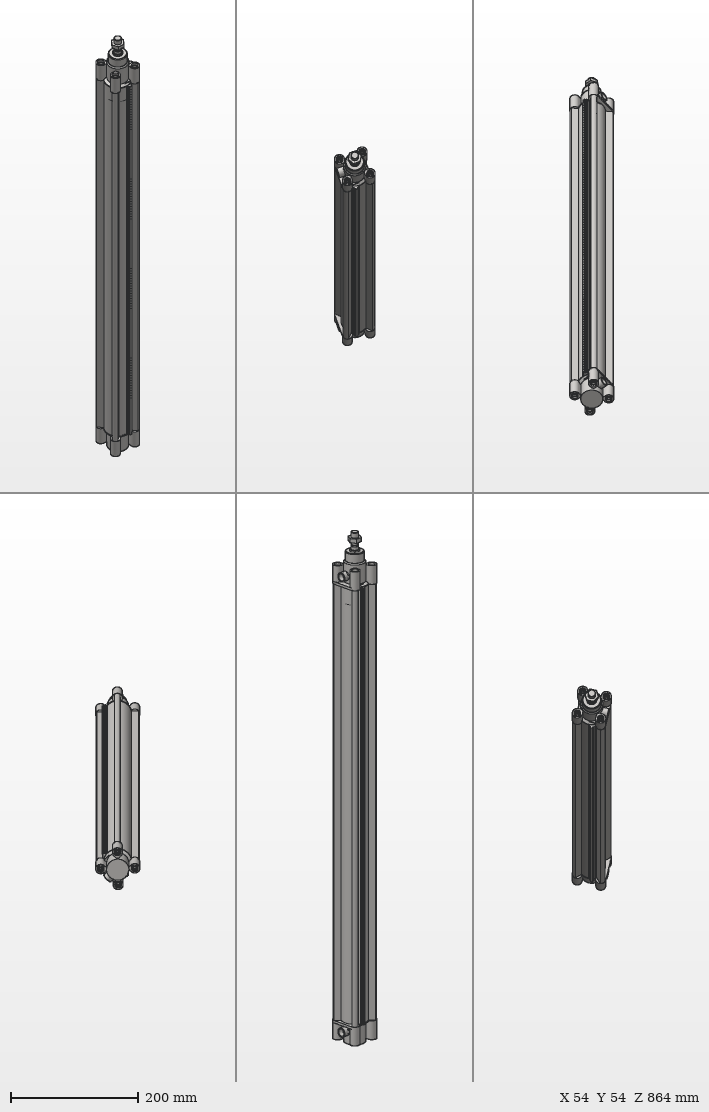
import cadquery as cq
import math

overall_length = 864.0
square_size = 54.0
half_size = square_size / 2
bolt_offset = 19.0
lobe_radius = half_size - bolt_offset

rod_projection = 55.0
cap_length = 32.0
collar_length = 5.0
collar_diameter = 35.0
nose_diameter = 30.0
nose_length = 23.0
nose_chamfer = 1.3
collar_bevel = 2.0

flange_length = 4.2
flange_diameter = 45.0
flange_cone_length = 3.0

screw_hole_steps = [(10.8, 4.0), (8.0, 8.0), (5.0, 16.0)]

port_boss_diameter = 15.5
port_diameter = 11.6
port_offset = 3.0
port_depth = 9.0

bore_diameter = 40.0
tube_arc_radius = 22.0
tube_half_size = 26.5
corner_crown = 24.4
facet_end = 20.0
valley_start = 12.0
rail_center = 5.6
rail_steps = [(11.0, 23.0), (7.0, 25.0), (3.2, half_size)]

rod_diameter = 16.0
thread_diameter = 12.0
thread_length = 24.0
undercut_diameter = 10.5
undercut_length = 2.5
thread_chamfer = 0.75
shoulder_depth = 29.5
piston_length = 30.0

nut_width = 19.0
nut_height = 7.0
nut_depth = 9.0

rear_cap_bottom = collar_length
rear_cap_top = rear_cap_bottom + cap_length
front_cap_top = overall_length - rod_projection
front_cap_bottom = front_cap_top - cap_length
tube_length = front_cap_bottom - rear_cap_top
corners = [(x, y) for x in (-bolt_offset, bolt_offset) for y in (-bolt_offset, bolt_offset)]


def cylinder(diameter, bottom, length):
    return cq.Workplane("XY").workplane(offset=bottom).circle(diameter / 2).extrude(length)


def boss_along_y(diameter, x, z, start, end):
    """A cylinder parallel to Y, from y = start to y = end."""
    plane = cq.Plane(origin=(x, start, z), xDir=(1, 0, 0), normal=(0, 1, 0))
    return cq.Workplane(plane).circle(diameter / 2).extrude(end - start)


def cap():
    """Cap with its outer face at z = 0 and its tube face at z = -cap_length."""
    body = cylinder(collar_diameter, -cap_length, cap_length + collar_length)
    web_center_ratio = 1 - lobe_radius / (2 * bolt_offset)
    for x, y in corners:
        lobe = cq.Workplane("XY").center(x, y).circle(lobe_radius).extrude(-cap_length)
        web = (
            cq.Workplane("XY")
            .center(x * web_center_ratio, y * web_center_ratio)
            .rect(lobe_radius, lobe_radius)
            .extrude(-cap_length)
        )
        body = body.union(lobe).union(web)

    rim_level = flange_length - flange_cone_length - cap_length
    flange_profile = [
        (0, -cap_length),
        (flange_diameter / 2, -cap_length),
        (flange_diameter / 2, rim_level),
        (collar_diameter / 2, rim_level + flange_cone_length),
        (0, rim_level + flange_cone_length),
    ]
    flange = cq.Workplane("XZ").polyline(flange_profile).close().revolve(360, (0, 0), (0, 1))
    port_ledge = (
        cq.Workplane("XY")
        .workplane(offset=-cap_length)
        .center(0, half_size / 2)
        .rect(2 * bolt_offset, half_size)
        .extrude(flange_length)
    )
    body = body.union(flange).union(port_ledge)

    port_level = -cap_length / 2
    body = body.union(boss_along_y(port_boss_diameter, port_offset, port_level, 0, half_size))
    body = body.cut(boss_along_y(port_diameter, port_offset, port_level, half_size - port_depth, half_size))

    for diameter, depth in screw_hole_steps:
        body = body.cut(cq.Workplane("XY").pushPoints(corners).circle(diameter / 2).extrude(-depth))
    return body


def front_cap():
    nose = cylinder(nose_diameter, 0, nose_length).faces(">Z").chamfer(nose_chamfer)
    rod_hole = cylinder(rod_diameter, -cap_length, cap_length + nose_length)
    bevel = (
        cq.Workplane("XY")
        .workplane(offset=collar_length)
        .circle(collar_diameter / 2)
        .workplane(offset=collar_bevel)
        .circle(collar_diameter / 2 - collar_bevel)
        .loft()
    )
    return cap().union(bevel).union(nose).cut(rod_hole).translate((0, 0, front_cap_top))


def rear_cap():
    return cap().mirror("XY").translate((0, 0, rear_cap_bottom))


def side_rail(side, width, reach):
    """A bar along the tube on its -X (side = -1) or +X (side = 1) face."""
    return (
        cq.Workplane("XY")
        .workplane(offset=rear_cap_top)
        .center(side * reach / 2, rail_center)
        .rect(reach, width)
        .extrude(tube_length)
    )


def turned(x, y, quarter_turns):
    """The point (x, y) turned about the cylinder axis by quarter turns."""
    for _ in range(quarter_turns):
        x, y = -y, x
    return x, y


def tube():
    arc_y = math.sqrt(tube_arc_radius**2 - valley_start**2)
    outline = cq.Workplane("XY").workplane(offset=rear_cap_top).moveTo(-facet_end, -tube_half_size)
    for turn in range(4):
        outline = (
            outline.lineTo(*turned(-valley_start, -arc_y, turn))
            .threePointArc(turned(0, -tube_arc_radius, turn), turned(valley_start, -arc_y, turn))
            .lineTo(*turned(facet_end, -tube_half_size, turn))
            .threePointArc(
                turned(corner_crown, -corner_crown, turn),
                turned(tube_half_size, -facet_end, turn),
            )
        )
    body = outline.close().extrude(tube_length)

    for side in (-1, 1):
        for width, reach in rail_steps:
            body = body.union(side_rail(side, width, reach))
    return body.cut(cylinder(bore_diameter, rear_cap_top, tube_length))


def piston_rod():
    tip = overall_length
    thread = cylinder(thread_diameter, tip - thread_length, thread_length).faces(">Z").chamfer(thread_chamfer)
    groove = cylinder(2 * thread_diameter, tip - thread_length, undercut_length).cut(
        cylinder(undercut_diameter, tip - thread_length, undercut_length)
    )
    neck = cylinder(thread_diameter, tip - shoulder_depth, shoulder_depth - thread_length)
    shank_bottom = front_cap_bottom - piston_length
    shank = cylinder(rod_diameter, shank_bottom, tip - shoulder_depth - shank_bottom)
    piston = cylinder(bore_diameter, shank_bottom, piston_length)
    return thread.cut(groove).union(neck).union(shank).union(piston)


def rod_nut():
    nut_bottom = overall_length - nut_depth - nut_height
    nut_corner = nut_width / math.cos(math.pi / 6)
    return (
        cq.Workplane("XY")
        .workplane(offset=nut_bottom)
        .transformed(rotate=(0, 0, 90))
        .polygon(6, nut_corner)
        .circle(thread_diameter / 2)
        .extrude(nut_height)
    )


bodies = [front_cap(), rear_cap(), tube(), piston_rod(), rod_nut()]
result = cq.Compound.makeCompound([body.val() for body in bodies])